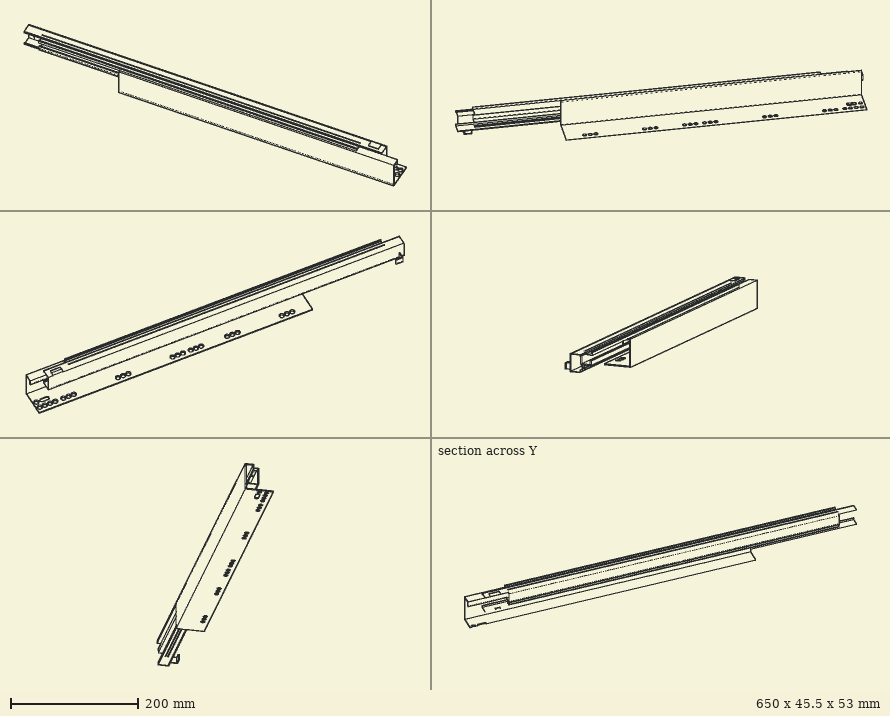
import cadquery as cq


LENGTH = 650.0
HEIGHT = 53.0
DEPTH = 45.5
SHEET = 2.0
BEND = 1.6

CABINET_START = 169.5
CABINET_TOP = 45.5
FLANGE_DEPTH = 14.0
LIP_BOTTOM = 36.0

HOLE_DIAMETER = 6.0
COUNTERSINK_DIAMETER = 8.5
HOLE_PITCH = 9.0
HOLES_PER_GROUP = 3
FIRST_GROUP_X = 210.0
LAST_GROUP_X = 593.5
GROUP_STEPS = [0, 3, 5, 6, 9, 12]
GROUP_GRID = (LAST_GROUP_X - FIRST_GROUP_X) / GROUP_STEPS[-1]
REAR_ROW_Y = 36.0
FRONT_ROW_Y = 24.0
LAST_HOLE_X = 644.0
REAR_END_HOLES = 4
SLOT_X = 630.0
SLOT_LENGTH = 15.5
SLOT_WIDTH = 6.5

MIDDLE_START = 28.5
MIDDLE_END = 584.0
MIDDLE_BACK = 22.0
MIDDLE_BOTTOM = 30.0
MIDDLE_TOP = 49.5
STEP_BACK = 12.5
STEP_FRONT = 10.0
STEP_DROP = 0.5
HOOK_FRONT = 2.0
HOOK_TOP = 51.5
LOWER_LIP_FRONT = 4.0
LOWER_LIP_TOP = 38.0
RIB_WIDTH = 1.0
UPPER_RIB_Y = [15.5]
LOWER_RIB_Y = [15.5, 19.5]

DRAWER_LENGTH = 624.5
DRAWER_BACK = 28.0
DRAWER_FRONT = 10.0
DRAWER_BOTTOM = 24.0
DRAWER_WEB = 2.0
DRAWER_FLANGE = 1.0
UPPER_LIP_END = 50.0
LOWER_LIP_END = 28.0
WINDOW_START = 598.0
WINDOW_LENGTH = 17.5
WINDOW_FRONT = 15.5
NOTCH_START = 598.5
NOTCH_LENGTH = 8.0
NOTCH_FRONT = 20.0
NOTCH_DEPTH = 4.5

TAB_X = 8.0
TAB_LENGTH = 12.5
TAB_BACK = 39.5
TAB_BOTTOM = 26.0
TAB_TOP = 36.0


def box(x0, x1, y0, y1, z0, z1):
    """Box between two limits on each axis."""
    return cq.Workplane("XY").box(x1 - x0, y1 - y0, z1 - z0, centered=False).translate((x0, y0, z0))


def extrude_section(points, start, end):
    """Extrude a closed (Y, Z) outline along X."""
    return cq.Workplane("YZ", origin=(start, 0, 0)).polyline(points).close().extrude(end - start)


def hole_row(last_x, count):
    """X positions of a row of holes that ends at last_x."""
    return [last_x - i * HOLE_PITCH for i in range(count)]


def mounting_hole_points():
    """Centres of all the holes in the cabinet rail's floor."""
    group_half = (HOLES_PER_GROUP - 1) * HOLE_PITCH / 2
    rear_x = hole_row(LAST_HOLE_X, REAR_END_HOLES)
    for step in GROUP_STEPS:
        centre = FIRST_GROUP_X + step * GROUP_GRID
        rear_x += hole_row(centre + group_half, HOLES_PER_GROUP)
    return [(x, REAR_ROW_Y) for x in rear_x] + [(LAST_HOLE_X, FRONT_ROW_Y)]


def mounting_holes():
    """Cones that cut holes countersunk from the floor's upper face."""
    small = HOLE_DIAMETER / 2
    large = COUNTERSINK_DIAMETER / 2
    holes = cq.Workplane("XY")
    for x, y in mounting_hole_points():
        holes = holes.add(cq.Solid.makeCone(small, large, SHEET, cq.Vector(x, y, 0)))
    return holes.combine()


def make_cabinet_rail():
    """Floor, front wall and a top flange with a hanging lip."""
    section = [
        (0, 0),
        (DEPTH, 0),
        (DEPTH, SHEET),
        (SHEET, SHEET),
        (SHEET, CABINET_TOP - SHEET),
        (FLANGE_DEPTH - SHEET, CABINET_TOP - SHEET),
        (FLANGE_DEPTH - SHEET, LIP_BOTTOM),
        (FLANGE_DEPTH, LIP_BOTTOM),
        (FLANGE_DEPTH, CABINET_TOP),
        (0, CABINET_TOP),
    ]
    rail = extrude_section(section, CABINET_START, LENGTH)
    slot = (
        cq.Workplane("XY")
        .center(SLOT_X, FRONT_ROW_Y)
        .slot2D(SLOT_LENGTH, SLOT_WIDTH)
        .extrude(SHEET)
    )
    return rail.cut(mounting_holes()).cut(slot)


def make_middle_rail():
    """C-section wrapped round the cabinet rail's flange, with guide ribs above and below."""
    low_top = MIDDLE_TOP - STEP_DROP
    section = [
        (MIDDLE_BACK, MIDDLE_BOTTOM),
        (MIDDLE_BACK, MIDDLE_TOP),
        (STEP_BACK, MIDDLE_TOP),
        (STEP_FRONT, low_top),
        (HOOK_FRONT + SHEET, low_top),
        (HOOK_FRONT + SHEET, HOOK_TOP),
        (HOOK_FRONT, HOOK_TOP),
        (HOOK_FRONT, low_top - SHEET),
        (STEP_FRONT, low_top - SHEET),
        (STEP_BACK, MIDDLE_TOP - SHEET),
        (MIDDLE_BACK - SHEET, MIDDLE_TOP - SHEET),
        (MIDDLE_BACK - SHEET, MIDDLE_BOTTOM + SHEET),
        (LOWER_LIP_FRONT + SHEET, MIDDLE_BOTTOM + SHEET),
        (LOWER_LIP_FRONT + SHEET, LOWER_LIP_TOP),
        (LOWER_LIP_FRONT, LOWER_LIP_TOP),
        (LOWER_LIP_FRONT, MIDDLE_BOTTOM),
    ]
    rail = extrude_section(section, MIDDLE_START, MIDDLE_END)
    rail = rail.faces(">Y").edges("|X").fillet(BEND)
    rib_half = RIB_WIDTH / 2
    for y in UPPER_RIB_Y:
        rib_top = HEIGHT - DRAWER_FLANGE
        rail = rail.union(box(MIDDLE_START, MIDDLE_END, y - rib_half, y + rib_half, MIDDLE_TOP, rib_top))
    for y in LOWER_RIB_Y:
        rib_bottom = DRAWER_BOTTOM + DRAWER_FLANGE
        rail = rail.union(box(MIDDLE_START, MIDDLE_END, y - rib_half, y + rib_half, rib_bottom, MIDDLE_BOTTOM))
    return rail


def make_tab():
    """L-shaped tab behind the drawer rail's web."""
    leg = box(TAB_X, TAB_X + SHEET, DRAWER_BACK, TAB_BACK, TAB_BOTTOM, TAB_TOP)
    hook = box(TAB_X, TAB_X + TAB_LENGTH, TAB_BACK - SHEET, TAB_BACK, TAB_BOTTOM, TAB_TOP)
    return leg.union(hook)


def make_drawer_rail():
    """Outer C-section with inturned lips, a window and notch near its end, and a hooked tab."""
    inner_back = DRAWER_BACK - DRAWER_WEB
    inner_top = HEIGHT - DRAWER_FLANGE
    inner_bottom = DRAWER_BOTTOM + DRAWER_FLANGE
    inner_front = DRAWER_FRONT + DRAWER_FLANGE
    section = [
        (DRAWER_BACK, DRAWER_BOTTOM),
        (DRAWER_BACK, HEIGHT),
        (DRAWER_FRONT, HEIGHT),
        (DRAWER_FRONT, UPPER_LIP_END),
        (inner_front, UPPER_LIP_END),
        (inner_front, inner_top),
        (inner_back, inner_top),
        (inner_back, inner_bottom),
        (inner_front, inner_bottom),
        (inner_front, LOWER_LIP_END),
        (DRAWER_FRONT, LOWER_LIP_END),
        (DRAWER_FRONT, DRAWER_BOTTOM),
    ]
    rail = extrude_section(section, 0, DRAWER_LENGTH)
    rail = rail.faces("<Z or >Z").edges("|X").fillet(BEND)
    window_end = WINDOW_START + WINDOW_LENGTH
    window = box(WINDOW_START, window_end, WINDOW_FRONT, inner_back, inner_top, HEIGHT)
    notch_end = NOTCH_START + NOTCH_LENGTH
    notch_back = NOTCH_FRONT + NOTCH_DEPTH
    notch = box(NOTCH_START, notch_end, NOTCH_FRONT, notch_back, DRAWER_BOTTOM, inner_bottom)
    return rail.cut(window).cut(notch).union(make_tab())


cabinet_rail = make_cabinet_rail()
middle_rail = make_middle_rail()
drawer_rail = make_drawer_rail()

result = cq.Compound.makeCompound([cabinet_rail.val(), middle_rail.val(), drawer_rail.val()])